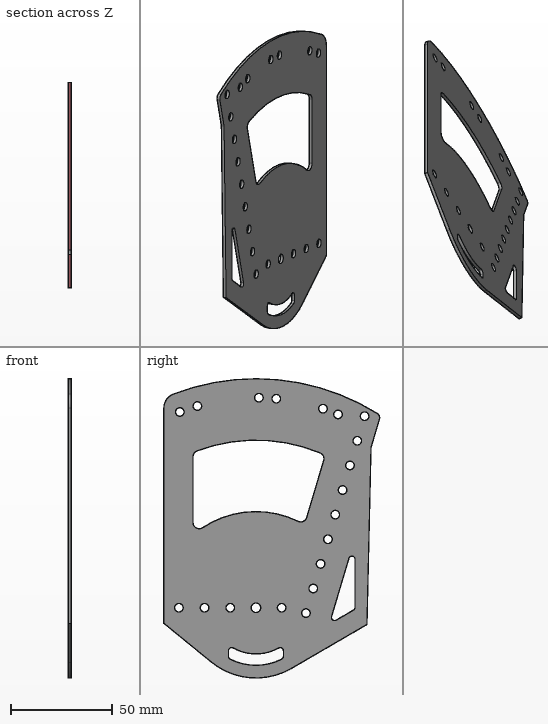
import cadquery as cq
import math

THICKNESS = 1.63
HOLE_DIAMETER = 4.12
PIVOT_DIAMETER = 4.62
HOLE_PITCH = 12.7
EDGE_MARGIN = 7.5

LEVEL_ROW_STEPS = (-3, -2, -1, 1)

PLATE_HEIGHT = 148.09
BOTTOM_RADIUS = 34.8
TOP_RADIUS = PLATE_HEIGHT - BOTTOM_RADIUS
RIGHT_EDGE_Y = min(LEVEL_ROW_STEPS) * HOLE_PITCH - EDGE_MARGIN
RIGHT_CORNER_Z = -7.7
LEFT_CORNER = (54.95, -8.3)
LEFT_KINK_Z = 79.3
TOP_LEFT_FILLET = 2.5
TOP_RIGHT_FILLET = 7.5

ROW_ANGLE = math.radians(16.6)
ROW_HOLE_COUNT = 9
ROW_BOTTOM = (24.7, -2.65)

ARC_HOLE_RADIUS = 103.85
ARC_HOLE_ANGLES = (-21.25, -16.2, 0.8, 5.55, 18.6, 23.0)

WINDOW_OUTER_RADIUS = 82.8
WINDOW_INNER_RADIUS = 47.6
WINDOW_RIGHT_Y = -31.05
WINDOW_ROW_OFFSET = 13.2
WINDOW_FILLET = 3.0

TRIANGLE_LEFT_Y = 48.95
TRIANGLE_ROW_OFFSET = 12.7
TRIANGLE_EDGE_OFFSET = 9.6
TRIANGLE_FILLET = 1.5

SLOT_INNER_RADIUS = 22.9
SLOT_OUTER_RADIUS = 28.4
SLOT_HALF_WIDTH = 13.5
SLOT_FILLET = 1.5


def plate_plane():
    """Workplane on the -X face of the plate."""
    return cq.Workplane("YZ").workplane(offset=-THICKNESS / 2)


def polar(radius, angle):
    """Point at an angle in radians, measured from +Y towards +Z."""
    return (radius * math.cos(angle), radius * math.sin(angle))


def row_line_y(z, offset=0.0):
    """Y at height z on a line parallel to the slanted row, offset towards +Y."""
    row_y = ROW_BOTTOM[0] + (z - ROW_BOTTOM[1]) * math.tan(ROW_ANGLE)
    return row_y + offset / math.cos(ROW_ANGLE)


def row_line_at_radius(offset, radius):
    """Upper point where a line parallel to the slanted row meets a circle about the pivot."""
    distance = row_line_y(0, offset) * math.cos(ROW_ANGLE)
    along = math.sqrt(radius**2 - distance**2)
    return (
        distance * math.cos(ROW_ANGLE) + along * math.sin(ROW_ANGLE),
        -distance * math.sin(ROW_ANGLE) + along * math.cos(ROW_ANGLE),
    )


def point_on_circle(y, radius):
    """Upper point of a circle about the pivot at the given y."""
    return (y, math.sqrt(radius**2 - y**2))


def tangent_angle(corner, side):
    """Angle of the point where a line from a corner touches the bottom arc; side is +1 or -1."""
    direction = math.atan2(corner[1], corner[0])
    return direction + side * math.acos(BOTTOM_RADIUS / math.hypot(*corner))


def fillet_corner(body, corner, radius):
    """Round the edge through the thickness that stands at a corner."""
    edge = cq.selectors.NearestToPointSelector((0, *corner))
    return body.edges("|X").edges(edge).fillet(radius)


RIGHT_CORNER = (RIGHT_EDGE_Y, RIGHT_CORNER_Z)
LEFT_TANGENT_ANGLE = tangent_angle(LEFT_CORNER, -1)
RIGHT_TANGENT_ANGLE = tangent_angle(RIGHT_CORNER, 1)


def make_plate():
    top_right = point_on_circle(RIGHT_EDGE_Y, TOP_RADIUS)
    top_left = row_line_at_radius(EDGE_MARGIN, TOP_RADIUS)
    left_kink = (row_line_y(LEFT_KINK_Z, EDGE_MARGIN), LEFT_KINK_Z)
    body = (
        plate_plane()
        .moveTo(*RIGHT_CORNER)
        .lineTo(*top_right)
        .threePointArc((0, TOP_RADIUS), top_left)
        .lineTo(*left_kink)
        .lineTo(*LEFT_CORNER)
        .lineTo(*polar(BOTTOM_RADIUS, LEFT_TANGENT_ANGLE))
        .threePointArc((0, -BOTTOM_RADIUS), polar(BOTTOM_RADIUS, RIGHT_TANGENT_ANGLE))
        .close()
        .extrude(THICKNESS)
    )
    body = fillet_corner(body, top_left, TOP_LEFT_FILLET)
    return fillet_corner(body, top_right, TOP_RIGHT_FILLET)


def make_holes():
    points = []
    for i in range(ROW_HOLE_COUNT):
        along = i * HOLE_PITCH
        y = ROW_BOTTOM[0] + along * math.sin(ROW_ANGLE)
        z = ROW_BOTTOM[1] + along * math.cos(ROW_ANGLE)
        points.append((y, z))
    for step in LEVEL_ROW_STEPS:
        points.append((step * HOLE_PITCH, 0))
    for lean in ARC_HOLE_ANGLES:
        points.append(polar(ARC_HOLE_RADIUS, math.pi / 2 - math.radians(lean)))
    holes = plate_plane().pushPoints(points).circle(HOLE_DIAMETER / 2).extrude(THICKNESS)
    return holes.union(plate_plane().circle(PIVOT_DIAMETER / 2).extrude(THICKNESS))


def make_window():
    top_left = row_line_at_radius(-WINDOW_ROW_OFFSET, WINDOW_OUTER_RADIUS)
    bottom_left = row_line_at_radius(-WINDOW_ROW_OFFSET, WINDOW_INNER_RADIUS)
    top_right = point_on_circle(WINDOW_RIGHT_Y, WINDOW_OUTER_RADIUS)
    bottom_right = point_on_circle(WINDOW_RIGHT_Y, WINDOW_INNER_RADIUS)
    return (
        plate_plane()
        .moveTo(*bottom_right)
        .lineTo(*top_right)
        .threePointArc((0, WINDOW_OUTER_RADIUS), top_left)
        .lineTo(*bottom_left)
        .threePointArc((0, WINDOW_INNER_RADIUS), bottom_right)
        .close()
        .extrude(THICKNESS)
        .edges("|X")
        .fillet(WINDOW_FILLET)
    )


def make_triangle():
    normal_y, normal_z = polar(1, LEFT_TANGENT_ANGLE)
    reach = BOTTOM_RADIUS - TRIANGLE_EDGE_OFFSET
    slope = math.tan(ROW_ANGLE)
    slanted_side_y = row_line_y(0, TRIANGLE_ROW_OFFSET)
    top_z = (TRIANGLE_LEFT_Y - slanted_side_y) / slope
    left_z = (reach - normal_y * TRIANGLE_LEFT_Y) / normal_z
    right_z = (reach - normal_y * slanted_side_y) / (normal_z + normal_y * slope)
    return (
        plate_plane()
        .moveTo(TRIANGLE_LEFT_Y, top_z)
        .lineTo(TRIANGLE_LEFT_Y, left_z)
        .lineTo(row_line_y(right_z, TRIANGLE_ROW_OFFSET), right_z)
        .close()
        .extrude(THICKNESS)
        .edges("|X")
        .fillet(TRIANGLE_FILLET)
    )


def make_slot():
    inner_z = -math.sqrt(SLOT_INNER_RADIUS**2 - SLOT_HALF_WIDTH**2)
    outer_z = -math.sqrt(SLOT_OUTER_RADIUS**2 - SLOT_HALF_WIDTH**2)
    return (
        plate_plane()
        .moveTo(-SLOT_HALF_WIDTH, inner_z)
        .threePointArc((0, -SLOT_INNER_RADIUS), (SLOT_HALF_WIDTH, inner_z))
        .lineTo(SLOT_HALF_WIDTH, outer_z)
        .threePointArc((0, -SLOT_OUTER_RADIUS), (-SLOT_HALF_WIDTH, outer_z))
        .close()
        .extrude(THICKNESS)
        .edges("|X")
        .fillet(SLOT_FILLET)
    )


result = make_plate()
for cutout in (make_holes(), make_window(), make_triangle(), make_slot()):
    result = result.cut(cutout)